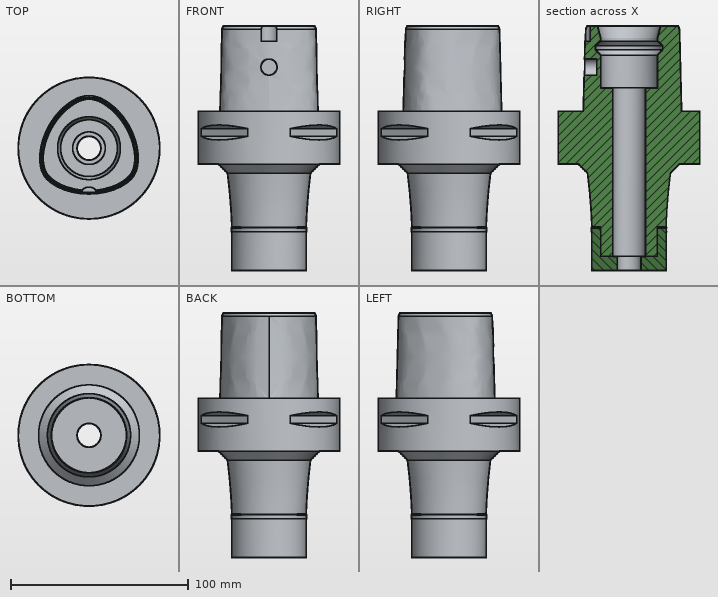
import cadquery as cq
import math


shank_length = 48.0
shank_width = 55.6
shank_taper = 1 / 20
lobe_height = 1.9
shank_chamfer_height = 1.8
shank_chamfer_inset = 0.85
half_outline_spans = 18

notch_diameter = 10.0
notch_center_y = -26.9
notch_depth = 8.5
side_hole_diameter = 9.1
side_hole_z = 24.8
side_hole_floor_y = -18.3

flange_diameter = 80.0
flange_thickness = 30.0
slot_count = 4
slot_floor_distance = 35.45
slot_floor_height = 4.2
slot_mouth_height = 8.5
slot_z = -12.1

collar_top_diameter = 57.0
collar_height = 5.0
neck_top_diameter = collar_top_diameter - 2 * collar_height
neck_bottom_diameter = 42.0
neck_bottom_z = -65.5
neck_flank_bow = 0.35

overall_bottom_z = -90.0
nut_gap = 0.4
nut_rim_diameter = 42.5
nut_rim_height = 2.1
nut_diameter = 42.2
nut_floor_thickness = 8.0
nut_hole_diameter = 13.3
spigot_diameter = 32.0
holder_bore_diameter = 18.4

bore_mouth_diameter = 35.5
bore_diameter = 32.0
groove_diameter = 37.8
mouth_taper_depth = 6.8
groove_lip_depth = 8.5
groove_top_depth = 11.2
groove_bottom_depth = 13.5
groove_end_depth = 16.4
bore_depth = 35.0

neck_top_z = -flange_thickness - collar_height
nut_top_z = neck_bottom_z - nut_gap
spigot_end_z = overall_bottom_z + nut_floor_thickness
chamfer_start_z = shank_length - shank_chamfer_height


def revolved(radius_height_pairs):
    """Solid of revolution about Z from (radius, height) corners, starting on the -Y side."""
    points = [(-radius, z) for radius, z in radius_height_pairs]
    return cq.Workplane("YZ").polyline(points).close().revolve(360, (0, 0), (0, 1))


def disc(diameter, bottom_z, top_z):
    """Upright cylinder on the Z axis."""
    return cq.Workplane("XY", origin=(0, 0, bottom_z)).circle(diameter / 2).extrude(top_z - bottom_z)


def lobed_half_outline(width):
    """Points from -Y round to +Y on the +X half of a curve of constant width with three lobes, one at +Y."""
    points = []
    for index in range(half_outline_spans + 1):
        swing = math.pi * (1 - index / half_outline_spans)
        reach = width / 2 + lobe_height * math.cos(3 * swing)
        slope = -3 * lobe_height * math.sin(3 * swing)
        across = reach * math.sin(swing) + slope * math.cos(swing)
        along = reach * math.cos(swing) - slope * math.sin(swing)
        points.append((across, along))
    return points


def lobed_wire(width, height):
    """Closed lobed outline at a height, made of two mirrored halves that meet smoothly."""
    toward_x = cq.Vector(1, 0, 0)
    points = [cq.Vector(x, y, height) for x, y in lobed_half_outline(width)]
    half = cq.Edge.makeSpline(points, tangents=[toward_x, -toward_x])
    return cq.Wire.assembleEdges([half, half.mirror("YZ")])


def lobed_frustum(bottom_width, bottom_z, top_width, top_z):
    sections = [lobed_wire(bottom_width, bottom_z), lobed_wire(top_width, top_z)]
    return cq.Workplane(cq.Solid.makeLoft(sections, True))


def make_shank():
    chamfer_start_width = shank_width - shank_taper * chamfer_start_z
    top_width = chamfer_start_width - 2 * shank_chamfer_inset
    cone = lobed_frustum(shank_width, 0, chamfer_start_width, chamfer_start_z)
    chamfer = lobed_frustum(chamfer_start_width, chamfer_start_z, top_width, shank_length)
    return cone.union(chamfer)


def make_neck():
    """Collar cone and slightly hollow neck, from the flange down to the gap above the nut."""
    top_radius = neck_top_diameter / 2
    bottom_radius = neck_bottom_diameter / 2
    middle_radius = (top_radius + bottom_radius) / 2 - neck_flank_bow
    middle_z = (neck_top_z + neck_bottom_z) / 2
    return (
        cq.Workplane("YZ")
        .moveTo(0, -flange_thickness)
        .lineTo(-collar_top_diameter / 2, -flange_thickness)
        .lineTo(-top_radius, neck_top_z)
        .threePointArc((-middle_radius, middle_z), (-bottom_radius, neck_bottom_z))
        .lineTo(0, neck_bottom_z)
        .close()
        .revolve(360, (0, 0), (0, 1))
    )


def make_flange():
    return revolved(
        [
            (0, 0),
            (flange_diameter / 2, 0),
            (flange_diameter / 2, -flange_thickness),
            (0, -flange_thickness),
        ]
    )


def make_gripper_slot(angle):
    """Straight slot across the flange rim whose flanks open outward from a flat floor."""
    rim = flange_diameter / 2
    flank = (slot_mouth_height - slot_floor_height) / 2
    section = [
        (slot_floor_distance, slot_z - slot_floor_height / 2),
        (rim, slot_z - slot_floor_height / 2 - flank),
        (rim, slot_z + slot_floor_height / 2 + flank),
        (slot_floor_distance, slot_z + slot_floor_height / 2),
    ]
    slot = cq.Workplane("XZ").polyline(section).close().extrude(rim, both=True)
    return slot.rotate((0, 0, 0), (0, 0, 1), angle)


def make_clamping_bore():
    bore_steps = [
        (0, 0),
        (bore_mouth_diameter, 0),
        (bore_diameter, mouth_taper_depth),
        (bore_diameter, groove_lip_depth),
        (groove_diameter, groove_top_depth),
        (groove_diameter, groove_bottom_depth),
        (bore_diameter, groove_end_depth),
        (bore_diameter, bore_depth),
        (0, bore_depth),
    ]
    profile = [(diameter / 2, shank_length - depth) for diameter, depth in bore_steps]
    return revolved(profile).rotate((0, 0, 0), (0, 0, 1), 180)


def make_keying_notch():
    notch = disc(notch_diameter, shank_length - notch_depth, shank_length)
    return notch.translate((0, notch_center_y, 0))


def make_side_hole():
    return (
        cq.Workplane("XZ", origin=(0, side_hole_floor_y, side_hole_z))
        .circle(side_hole_diameter / 2)
        .extrude(shank_width / 2)
    )


def make_holder():
    holder = make_flange().union(make_shank()).union(make_neck())
    holder = holder.union(disc(spigot_diameter, spigot_end_z, neck_bottom_z))
    for index in range(slot_count):
        holder = holder.cut(make_gripper_slot((index + 0.5) * 360 / slot_count))
    holder = holder.cut(make_clamping_bore())
    holder = holder.cut(disc(holder_bore_diameter, spigot_end_z, shank_length))
    return holder.cut(make_keying_notch()).cut(make_side_hole())


def make_nut():
    """Cup-shaped nut on the spigot, with a slightly larger rim along its upper edge."""
    rim_z = nut_top_z - nut_rim_height
    return revolved(
        [
            (spigot_diameter / 2, nut_top_z),
            (nut_rim_diameter / 2, nut_top_z),
            (nut_rim_diameter / 2, rim_z),
            (nut_diameter / 2, rim_z),
            (nut_diameter / 2, overall_bottom_z),
            (nut_hole_diameter / 2, overall_bottom_z),
            (nut_hole_diameter / 2, spigot_end_z),
            (spigot_diameter / 2, spigot_end_z),
        ]
    )


holder = make_holder()
nut = make_nut()

result = cq.Compound.makeCompound([holder.solids().val(), nut.val()])